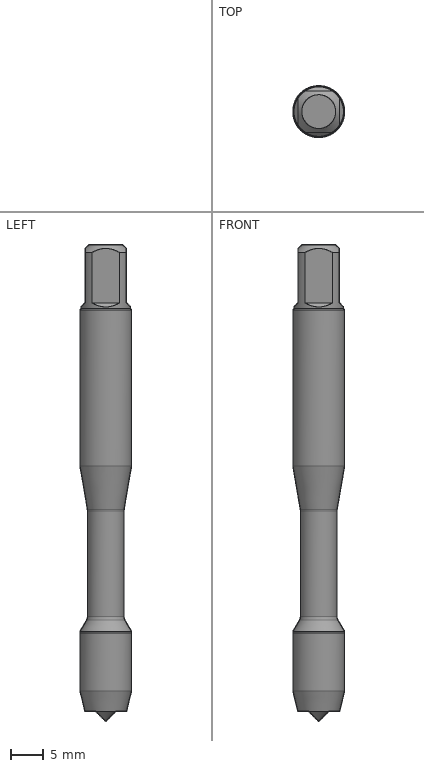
import cadquery as cq

total_length = 73.55
nose_z = 1.55
lead_top_z = 4.7
head_top_z = 13.7
cone_bottom_z = 13.9
cone_top_z = 15.9
taper_bottom_z = 32.6
taper_top_z = 39.4
shank_top_z = 63.7
flat_bottom_z = 64.6

body_diameter = 8.0
neck_diameter = 5.7
nose_diameter = 6.5
drive_diameter = 7.65
drive_top_diameter = 5.2

drive_across_flats = 6.4
drive_chamfer_height = 1.2

neck_blend = 1.0

body_radius = body_diameter / 2
neck_radius = neck_diameter / 2
drive_radius = drive_diameter / 2
shank_chamfer = body_radius - drive_radius
flat_offset = drive_across_flats / 2


def revolved(profile):
    """Solid of revolution about Z from (radius, height) points."""
    return cq.Workplane("XZ").polyline(profile).close().revolve(360, (0, 0), (0, 1))


def blend_circle(body, height, radius):
    """Fillet the circular edge lying at the given height."""
    margin = 0.01
    reach = body_diameter
    selector = cq.selectors.BoxSelector(
        (-reach, -reach, height - margin),
        (reach, reach, height + margin),
    )
    circles = body.edges("%CIRCLE").edges(selector)
    return circles.fillet(radius)


def drive_flat_cutter():
    """Material outside the +X flat, with a 45 degree run-out at its lower end."""
    reach = body_diameter
    depth = reach - flat_offset
    profile = [
        (flat_offset, flat_bottom_z),
        (flat_offset, total_length),
        (reach, total_length),
        (reach, flat_bottom_z - depth),
    ]
    return cq.Workplane("XZ").polyline(profile).close().extrude(body_diameter, both=True)


def make_shank():
    """Shoulder cone, neck, taper, round shank and square drive."""
    shank = revolved([
        (0, head_top_z),
        (body_radius, head_top_z),
        (body_radius, cone_bottom_z),
        (neck_radius, cone_top_z),
        (neck_radius, taper_bottom_z),
        (body_radius, taper_top_z),
        (body_radius, shank_top_z - shank_chamfer),
        (drive_radius, shank_top_z),
        (drive_radius, total_length - drive_chamfer_height),
        (drive_top_diameter / 2, total_length),
        (0, total_length),
    ])
    for neck_end_z in (cone_top_z, taper_bottom_z):
        shank = blend_circle(shank, neck_end_z, neck_blend)
    cutter = drive_flat_cutter()
    for angle in (0, 90, 180, 270):
        shank = shank.cut(cutter.rotate((0, 0, 0), (0, 0, 1), angle))
    return shank


def make_head():
    """Cutting head with a cylindrical body, tapered lead and 90 degree centre point."""
    return revolved([
        (0, 0),
        (nose_z, nose_z),
        (nose_diameter / 2, nose_z),
        (body_radius, lead_top_z),
        (body_radius, head_top_z),
        (0, head_top_z),
    ])


shank = make_shank()
head = make_head()
result = cq.Compound.makeCompound([shank.val(), head.val()])